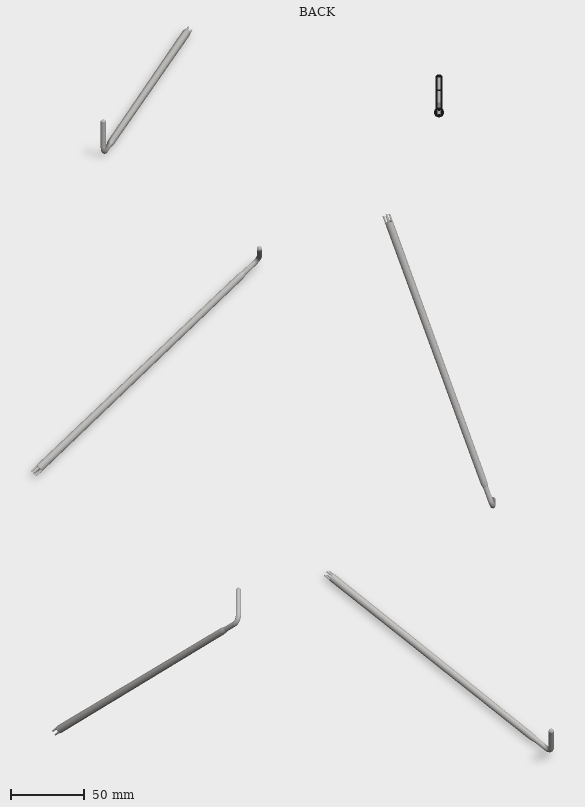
import cadquery as cq
import math

overall_length = 216.5
arm_height = 25.0

plug_diameter = 5.5
plug_length = 10.0
pin_length = 5.0
pin_diameter = 1.2
pin_count = 4
pin_circle_radius = (plug_diameter - pin_diameter) / 2

shaft_front_diameter = 4.75
shaft_front = 195.0
nose_length = 5.0

rod_diameter = 3.5
bend_radius = 5.0
tip_length = 10.0
tip_chamfer = 1.0

nose_end = shaft_front + nose_length
arm_axis = overall_length - rod_diameter / 2
tip_base = arm_height - tip_length


def cross_section(distance):
    """Workplane square to the shaft axis, a given distance forward of the rear end."""
    return cq.Workplane("XZ", origin=(0, -distance, 0))


def make_plug():
    body_length = plug_length - pin_length
    body = cross_section(pin_length).circle(plug_diameter / 2).extrude(body_length)
    pins = (
        cross_section(0)
        .polarArray(pin_circle_radius, 0, 360, pin_count)
        .circle(pin_diameter / 2)
        .extrude(pin_length)
    )
    return body.union(pins)


def make_probe():
    shaft = (
        cq.Workplane("YZ")
        .moveTo(-plug_length, 0)
        .lineTo(-plug_length, plug_diameter / 2)
        .lineTo(-shaft_front, shaft_front_diameter / 2)
        .tangentArcPoint((-nose_end, rod_diameter / 2), relative=False)
        .lineTo(-nose_end, 0)
        .close()
        .revolve(360, (0, 0, 0), (1, 0, 0))
    )

    bend_start = arm_axis - bend_radius
    bend_rise = bend_radius * (1 - math.sqrt(0.5))
    rod_path = (
        cq.Workplane("YZ")
        .moveTo(-nose_end, 0)
        .lineTo(-bend_start, 0)
        .threePointArc((-arm_axis + bend_rise, bend_rise), (-arm_axis, bend_radius))
        .lineTo(-arm_axis, tip_base)
    )
    rod = cross_section(nose_end).circle(rod_diameter / 2).sweep(rod_path)
    return shaft.union(rod)


def make_tip():
    base = cq.Workplane("XY", origin=(0, -arm_axis, tip_base))
    return base.circle(rod_diameter / 2).extrude(tip_length).faces(">Z").chamfer(tip_chamfer)


plug = make_plug()
probe = make_probe()
tip = make_tip()

result = cq.Compound.makeCompound([plug.val(), probe.val(), tip.val()])